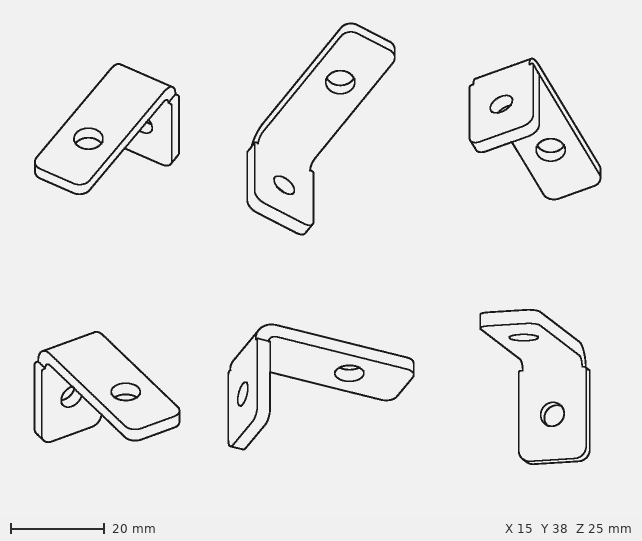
import cadquery as cq

length = 38.0
height = 25.0
wall_width = 15.0
arm_width = 13.22
thickness = 3.0

inner_bend_radius = 2.0
outer_bend_radius = inner_bend_radius + thickness
end_corner_radius = 2.5
shoulder_radius = 0.5

arm_hole_diameter = 6.2
arm_hole_from_end = 13.0
wall_hole_diameter = 5.2
wall_hole_from_end = 10.0


def make_arm():
    """Horizontal leg with a rounded free end and a hole."""
    arm_length = length - outer_bend_radius
    arm = (
        cq.Workplane("XY")
        .box(arm_width, arm_length, thickness, centered=(True, False, False))
        .translate((0, -length, -thickness))
        .edges("|Z and <Y")
        .fillet(end_corner_radius)
    )
    hole = (
        cq.Workplane("XY")
        .center(0, arm_hole_from_end - length)
        .circle(arm_hole_diameter / 2)
        .extrude(-thickness)
    )
    return arm.cut(hole)


def make_bend():
    """Quarter-round bend joining the arm to the top of the wall."""
    center_y = -outer_bend_radius
    center_z = -outer_bend_radius
    quarter = (
        cq.Workplane("YZ")
        .rect(outer_bend_radius, outer_bend_radius, centered=False)
        .extrude(arm_width / 2, both=True)
    )
    ring = (
        cq.Workplane("YZ")
        .circle(outer_bend_radius)
        .circle(inner_bend_radius)
        .extrude(arm_width / 2, both=True)
    )
    return ring.intersect(quarter).translate((0, center_y, center_z))


def make_wall():
    """Vertical leg, wider than the arm, with rounded corners and a hole."""
    wall_height = height - outer_bend_radius
    wall = (
        cq.Workplane("XY")
        .box(wall_width, thickness, wall_height, centered=(True, False, False))
        .translate((0, -thickness, -height))
        .edges("|Y and <Z")
        .fillet(end_corner_radius)
        .edges("|Y and >Z")
        .fillet(shoulder_radius)
    )
    hole = (
        cq.Workplane("XZ")
        .center(0, wall_hole_from_end - height)
        .circle(wall_hole_diameter / 2)
        .extrude(thickness)
    )
    return wall.cut(hole)


result = make_arm().union(make_bend()).union(make_wall())